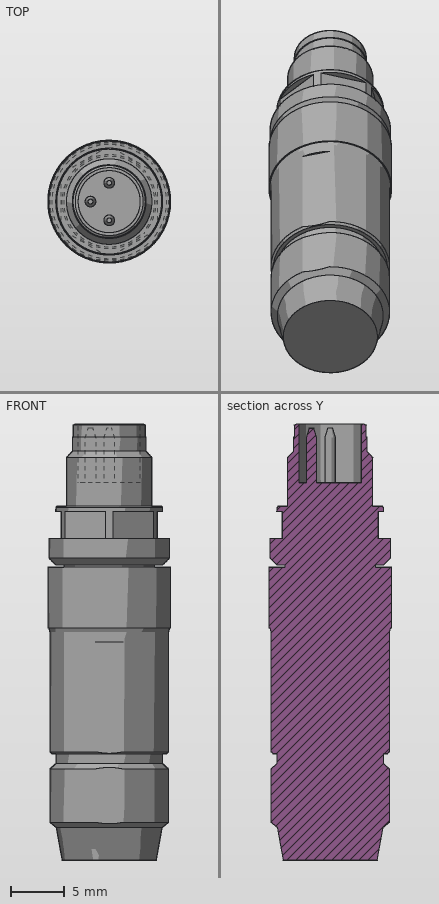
import cadquery as cq

TOTAL_LENGTH = 40.8

REAR_END_DIAMETER = 8.8
TAPER_DIAMETER = 9.9
TAPER_TOP = 3.05

NUT_DIAMETER = 11.1
NUT_BOTTOM = 3.55
NUT_TOP = 8.55
GROOVE_DIAMETER = 10.0
GROOVE_BOTTOM = 9.05
GROOVE_TOP = 9.95

HOUSING_DIAMETER = 11.1
HOUSING_EDGE_CHAMFER = 0.2
SLEEVE_DIAMETER = 11.5
SLEEVE_SHOULDER_DIAMETER = 11.3
SLEEVE_SHOULDER_BOTTOM = 21.3
SLEEVE_BOTTOM = 21.7
SLEEVE_TOP = 27.4

FLAT_SPACING = 10.8
FLAT_TOP = 20.4

NECK_DIAMETER = 8.5
COLLAR_DIAMETER = 11.3
COLLAR_CHAMFER_DIAMETER = 10.0
COLLAR_CHAMFER_BOTTOM = 27.6
COLLAR_BOTTOM = 28.25
COLLAR_TOP = 30.1

HEX_ACROSS_FLATS = 9.0
FLANGE_DIAMETER = 10.0
FLANGE_BOTTOM = 32.6
FLANGE_TOP = 33.1
FLANGE_CHAMFER = 0.1

PLUG_DIAMETER = 8.0
PLUG_SHOULDER_BOTTOM = 37.65
PLUG_SHOULDER_TOP = 38.25
RING_DIAMETER = 6.9
RING_TOP = 39.55
RIM_DIAMETER = 6.75
RIM_CHAMFER_WIDTH = 0.2
RIM_CHAMFER_HEIGHT = 0.12

SOCKET_DIAMETER = 5.8
SOCKET_DEPTH = 5.5
PIN_DIAMETER = 1.0
PIN_TIP_DIAMETER = 0.45
PIN_TIP_LENGTH = 0.9
PIN_TIP_RECESS = 0.4
PIN_CIRCLE_RADIUS = 1.75
PIN_ANGLES = (90, 180, 270)
PIN_ROOT_LENGTH = 1.0


def revolve_profile(steps):
    """Solid of revolution about Z through (diameter, height) steps, closed along the axis."""
    outline = [(diameter / 2, height) for diameter, height in steps]
    outline = [(0, steps[0][1])] + outline + [(0, steps[-1][1])]
    return cq.Workplane("XZ").polyline(outline).close().revolve(360, (0, 0, 0), (0, 1, 0))


def make_rear():
    """Tapered end, clamping nut, groove, housing and sleeve."""
    return revolve_profile([
        (REAR_END_DIAMETER, 0),
        (TAPER_DIAMETER, TAPER_TOP),
        (NUT_DIAMETER, NUT_BOTTOM),
        (NUT_DIAMETER, NUT_TOP),
        (GROOVE_DIAMETER, GROOVE_BOTTOM),
        (GROOVE_DIAMETER, GROOVE_TOP),
        (HOUSING_DIAMETER - 2 * HOUSING_EDGE_CHAMFER, GROOVE_TOP),
        (HOUSING_DIAMETER, GROOVE_TOP + HOUSING_EDGE_CHAMFER),
        (HOUSING_DIAMETER, SLEEVE_SHOULDER_BOTTOM),
        (SLEEVE_SHOULDER_DIAMETER, SLEEVE_BOTTOM),
        (SLEEVE_DIAMETER, SLEEVE_BOTTOM),
        (SLEEVE_DIAMETER, SLEEVE_TOP),
    ])


def cut_wrench_flats(body):
    """Keep only the material between the two flats, from the rear end up to FLAT_TOP."""
    slab = cq.Workplane("XY").box(
        2 * SLEEVE_DIAMETER, FLAT_SPACING, FLAT_TOP, centered=(True, True, False)
    )
    envelope = cq.Workplane("XY").circle(SLEEVE_DIAMETER).extrude(FLAT_TOP)
    return body.cut(envelope.cut(slab))


def make_collar():
    """Neck and the collar with its chamfered lower edge."""
    return revolve_profile([
        (NECK_DIAMETER, SLEEVE_TOP),
        (NECK_DIAMETER, COLLAR_CHAMFER_BOTTOM),
        (COLLAR_CHAMFER_DIAMETER, COLLAR_CHAMFER_BOTTOM),
        (COLLAR_DIAMETER, COLLAR_BOTTOM),
        (COLLAR_DIAMETER, COLLAR_TOP),
    ])


def make_hexagon():
    """Hexagon with flats at -X and +X, its corners turned down to the flange diameter."""
    height = FLANGE_BOTTOM - COLLAR_TOP
    base = cq.Workplane("XY").workplane(offset=COLLAR_TOP)
    prism = base.polygon(6, HEX_ACROSS_FLATS, circumscribed=True).extrude(height)
    return prism.intersect(base.circle(FLANGE_DIAMETER / 2).extrude(height))


def make_plug():
    """Flange, plug barrel, ring and rim."""
    return revolve_profile([
        (FLANGE_DIAMETER, FLANGE_BOTTOM),
        (FLANGE_DIAMETER, FLANGE_TOP - FLANGE_CHAMFER),
        (FLANGE_DIAMETER - 2 * FLANGE_CHAMFER, FLANGE_TOP),
        (PLUG_DIAMETER, FLANGE_TOP),
        (PLUG_DIAMETER, PLUG_SHOULDER_BOTTOM),
        (RING_DIAMETER, PLUG_SHOULDER_TOP),
        (RING_DIAMETER, RING_TOP),
        (RIM_DIAMETER, RING_TOP),
        (RIM_DIAMETER, TOTAL_LENGTH - RIM_CHAMFER_HEIGHT),
        (RIM_DIAMETER - 2 * RIM_CHAMFER_WIDTH, TOTAL_LENGTH),
    ])


def make_socket():
    """Volume removed for the open socket at the top of the plug."""
    floor = TOTAL_LENGTH - SOCKET_DEPTH
    return cq.Workplane("XY").workplane(offset=floor).circle(SOCKET_DIAMETER / 2).extrude(SOCKET_DEPTH)


def make_pin():
    """Contact pin on the Z axis with a conical tip, rooted below the socket floor."""
    tip = TOTAL_LENGTH - PIN_TIP_RECESS
    return revolve_profile([
        (PIN_DIAMETER, TOTAL_LENGTH - SOCKET_DEPTH - PIN_ROOT_LENGTH),
        (PIN_DIAMETER, tip - PIN_TIP_LENGTH),
        (PIN_TIP_DIAMETER, tip),
    ])


result = cut_wrench_flats(make_rear())
result = result.union(make_collar()).union(make_hexagon()).union(make_plug())
result = result.cut(make_socket())
for angle in PIN_ANGLES:
    pin = make_pin().translate((PIN_CIRCLE_RADIUS, 0, 0)).rotate((0, 0, 0), (0, 0, 1), angle)
    result = result.union(pin)